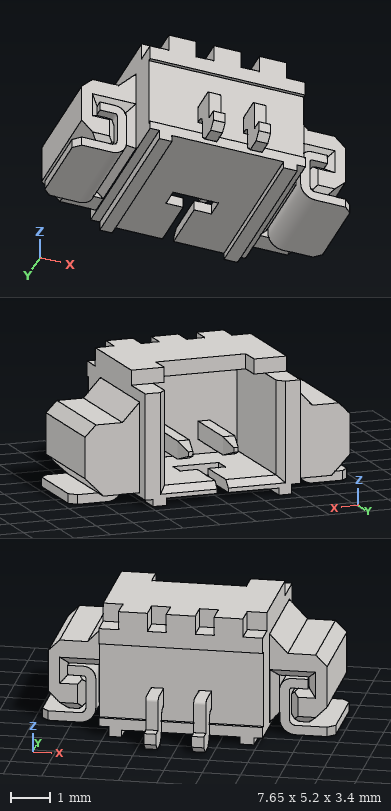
import cadquery as cq

TOTAL_HALF_WIDTH = 3.825
OVERLAP = 0.08

HALF_WIDTH = 2.135
DEPTH = 4.2
TOP_Z = 3.4
BELLY_Z = 0.19
LEFT_EDGE_Z = 0.26
LEFT_FOOT = (-1.88, -1.54)
RIGHT_FOOT = (1.54, 1.91)
RECESS_DEPTH = 0.09
RECESS_BOTTOM_Z = 0.49
RECESS_TOP_Z = 2.495

SHOULDER_Z = 3.0
SHOULDER_LENGTH = 0.995
CAVITY_HALF_WIDTH = 1.53
CAVITY_FLOOR_Z = 0.5
CAVITY_LENGTH = 3.0
ENTRY_CHAMFER = 0.18
ROOF_NOTCH_HALF_WIDTH = 1.23
ROOF_NOTCH_LENGTH = 1.59
FLOOR_SLOT_WIDTH = 0.3
FLOOR_SLOT_LENGTH = 1.45
FLOOR_WINDOW_LENGTH = 0.5

NOTCH_WIDTH = 0.49
CORNER_NOTCH_WIDTH = 0.51
NOTCH_DEPTH = 0.605
NOTCH_FLOOR_Z = 2.91

PITCH = 1.25
CONTACT_XS = (-PITCH / 2, PITCH / 2)
CONTACT_WIDTH = 0.32
CONTACT_HEIGHT = 0.48
CONTACT_TOP_Z = 1.36
CONTACT_TOE_Y = DEPTH - 5.2
TOE_LENGTH = 0.305
TOE_CHAMFER = 0.19
BEND_OUTER_RADIUS = 0.12
BEND_INNER_RADIUS = 0.2
TIP_GAP = 0.695
TIP_LENGTH = 0.51
TIP_SIZE = 0.12

EAR_FRONT_Y = 0.99
EAR_BACK_Y = DEPTH - 0.39
EAR_OUTER_X = 3.63
EAR_TOP_Z = 2.195
EAR_BOTTOM_Z = 0.3
EAR_CHAMFER = 0.3
EAR_SLOPE_X = 2.61
EAR_ROOT_Z = 2.69
EAR_BEVEL_BOTTOM = 0.505
CLIP_BACK_Y = DEPTH - 0.92
POCKET_OUTER_X = 3.13
POCKET_INNER_X = 2.35
POCKET_TOP_Z = 1.52
LIP_TOP_Z = 1.23
LIP_INNER_X = 2.66
FLARE = 0.21

CLIP_THICKNESS = 0.26
CLIP_INNER_X = 2.395
CLIP_TOP_RADIUS = 0.32
CLIP_BOTTOM_RADIUS = 0.41
CLIP_TAB_CHAMFER = 0.19


def box(x0, x1, y0, y1, z0, z1):
    """Axis-aligned box between two opposite corners."""
    return cq.Workplane("XY").box(x1 - x0, y1 - y0, z1 - z0, centered=False).translate((x0, y0, z0))


def prism_y(points, y0, y1):
    """Closed XZ outline extruded from y0 to y1."""
    return cq.Workplane("XZ", origin=(0, y0, 0)).polyline(points).close().extrude(y0 - y1)


def mirrored_box(half_width, y0, y1, z0, z1):
    """Box centred on X = 0."""
    return box(-half_width, half_width, y0, y1, z0, z1)


def cavity_outline(half_width, bottom_z):
    """Corners of a cavity cross-section that reaches up to the shoulder."""
    return [
        (-half_width, bottom_z),
        (half_width, bottom_z),
        (half_width, SHOULDER_Z),
        (-half_width, SHOULDER_Z),
    ]


def make_cavity():
    """Mating cavity with its flared mouth, open through the back and above the shoulder."""
    front_y = DEPTH - CAVITY_LENGTH
    cavity = mirrored_box(CAVITY_HALF_WIDTH, front_y, DEPTH, CAVITY_FLOOR_Z, SHOULDER_Z)
    half_flare = CAVITY_HALF_WIDTH + ENTRY_CHAMFER
    flare_y = DEPTH - ENTRY_CHAMFER
    flare = (
        cq.Workplane("XZ", origin=(0, flare_y, 0))
        .polyline(cavity_outline(CAVITY_HALF_WIDTH, CAVITY_FLOOR_Z)).close()
        .workplane(offset=-ENTRY_CHAMFER)
        .polyline(cavity_outline(half_flare, CAVITY_FLOOR_Z - ENTRY_CHAMFER)).close()
        .loft(ruled=True)
    )
    return cavity.union(flare)


def make_housing():
    """Plastic housing without the ears."""
    body = mirrored_box(HALF_WIDTH, 0, DEPTH, BELLY_Z, TOP_Z)
    for foot_start, foot_end in (LEFT_FOOT, RIGHT_FOOT):
        body = body.union(box(foot_start, foot_end, 0, DEPTH, 0, BELLY_Z))
    body = body.cut(box(-HALF_WIDTH, LEFT_FOOT[0], 0, DEPTH, BELLY_Z, LEFT_EDGE_Z))
    body = body.cut(mirrored_box(HALF_WIDTH, 0, RECESS_DEPTH, RECESS_BOTTOM_Z, RECESS_TOP_Z))

    shoulder_y = DEPTH - SHOULDER_LENGTH
    body = body.cut(mirrored_box(HALF_WIDTH, shoulder_y, DEPTH, SHOULDER_Z, TOP_Z))
    body = body.cut(make_cavity())
    notch_y = DEPTH - ROOF_NOTCH_LENGTH
    body = body.cut(mirrored_box(ROOF_NOTCH_HALF_WIDTH, notch_y, shoulder_y, SHOULDER_Z, TOP_Z))

    slot_y = DEPTH - FLOOR_SLOT_LENGTH
    body = body.cut(mirrored_box(FLOOR_SLOT_WIDTH / 2, slot_y, DEPTH, 0, CAVITY_FLOOR_Z))
    window_y = slot_y - FLOOR_WINDOW_LENGTH
    body = body.cut(mirrored_box(PITCH / 2, window_y, slot_y, 0, CAVITY_FLOOR_Z))

    corner_x = HALF_WIDTH - CORNER_NOTCH_WIDTH / 2
    notches = [(x, NOTCH_WIDTH) for x in CONTACT_XS]
    notches += [(x, CORNER_NOTCH_WIDTH) for x in (-corner_x, corner_x)]
    for x, width in notches:
        body = body.cut(box(x - width / 2, x + width / 2, 0, NOTCH_DEPTH, NOTCH_FLOOR_Z, TOP_Z))
    return body


def make_contact():
    """One contact on X = 0: bent lead, straight pin and tapered tip."""
    bottom_z = CONTACT_TOP_Z - CONTACT_HEIGHT
    leg_front_y = CONTACT_TOE_Y + TOE_LENGTH
    leg_back_y = leg_front_y + CONTACT_HEIGHT
    taper_y = DEPTH - TIP_GAP - TIP_LENGTH
    outline = [
        (taper_y, CONTACT_TOP_Z),
        (leg_front_y, CONTACT_TOP_Z),
        (leg_front_y, CONTACT_HEIGHT),
        (CONTACT_TOE_Y, CONTACT_HEIGHT),
        (CONTACT_TOE_Y, TOE_CHAMFER),
        (CONTACT_TOE_Y + TOE_CHAMFER, 0),
        (leg_back_y - TOE_CHAMFER, 0),
        (leg_back_y, TOE_CHAMFER),
        (leg_back_y, bottom_z),
        (taper_y, bottom_z),
    ]
    contact = cq.Workplane("YZ").polyline(outline).close().extrude(CONTACT_WIDTH / 2, both=True)
    outer_bend = cq.selectors.NearestToPointSelector((0, leg_front_y, CONTACT_TOP_Z))
    inner_bend = cq.selectors.NearestToPointSelector((0, leg_back_y, bottom_z))
    contact = contact.edges(outer_bend).fillet(BEND_OUTER_RADIUS)
    contact = contact.edges(inner_bend).fillet(BEND_INNER_RADIUS)
    tip = (
        cq.Workplane("XZ", origin=(0, taper_y, CONTACT_TOP_Z - CONTACT_HEIGHT / 2))
        .rect(CONTACT_WIDTH, CONTACT_HEIGHT)
        .workplane(offset=-TIP_LENGTH)
        .rect(TIP_SIZE, TIP_SIZE)
        .loft(ruled=True)
    )
    return contact.union(tip)


def make_ear():
    """Hook-shaped ear on the +X side with a clip pocket open to the front and below."""
    ear = prism_y(
        [
            (HALF_WIDTH, EAR_BOTTOM_Z),
            (EAR_OUTER_X - EAR_BEVEL_BOTTOM, EAR_BOTTOM_Z),
            (EAR_OUTER_X, EAR_BOTTOM_Z + EAR_BEVEL_BOTTOM),
            (EAR_OUTER_X, EAR_TOP_Z - EAR_CHAMFER),
            (EAR_OUTER_X - EAR_CHAMFER, EAR_TOP_Z),
            (EAR_SLOPE_X, EAR_TOP_Z),
            (HALF_WIDTH, EAR_ROOT_Z),
        ],
        EAR_FRONT_Y,
        EAR_BACK_Y,
    )
    pocket = prism_y(
        [
            (POCKET_INNER_X - FLARE, EAR_BOTTOM_Z),
            (POCKET_INNER_X, EAR_BOTTOM_Z + FLARE),
            (POCKET_INNER_X, POCKET_TOP_Z),
            (POCKET_OUTER_X, POCKET_TOP_Z),
            (POCKET_OUTER_X, LIP_TOP_Z),
            (LIP_INNER_X + FLARE, LIP_TOP_Z),
            (LIP_INNER_X, LIP_TOP_Z - FLARE),
            (LIP_INNER_X, EAR_BOTTOM_Z + FLARE),
            (LIP_INNER_X + FLARE, EAR_BOTTOM_Z),
        ],
        EAR_FRONT_Y,
        CLIP_BACK_Y,
    )
    return ear.cut(pocket).cut(make_pocket_flare())


def make_pocket_flare():
    """Lead-in around the pocket mouth: its sharp-cornered outline shrinks with depth."""
    def mouth(grow):
        open_z = EAR_BOTTOM_Z - OVERLAP
        lip_bottom_z = EAR_BOTTOM_Z + grow
        far_x = EAR_OUTER_X + OVERLAP
        return [
            (POCKET_INNER_X - grow, open_z),
            (POCKET_INNER_X - grow, POCKET_TOP_Z + grow),
            (POCKET_OUTER_X + grow, POCKET_TOP_Z + grow),
            (POCKET_OUTER_X + grow, LIP_TOP_Z - grow),
            (LIP_INNER_X + grow, LIP_TOP_Z - grow),
            (LIP_INNER_X + grow, lip_bottom_z),
            (far_x, lip_bottom_z),
            (far_x, open_z),
        ]

    return (
        cq.Workplane("XZ", origin=(0, EAR_FRONT_Y, 0))
        .polyline(mouth(FLARE)).close()
        .workplane(offset=-FLARE)
        .polyline(mouth(0)).close()
        .loft(ruled=True)
    )


def make_clip():
    """Bent sheet-metal solder clip on the +X side."""
    wall_x = CLIP_INNER_X + CLIP_THICKNESS
    clip = prism_y(
        [
            (POCKET_OUTER_X, POCKET_TOP_Z),
            (CLIP_INNER_X, POCKET_TOP_Z),
            (CLIP_INNER_X, 0),
            (TOTAL_HALF_WIDTH, 0),
            (TOTAL_HALF_WIDTH, CLIP_THICKNESS),
            (wall_x, CLIP_THICKNESS),
            (wall_x, POCKET_TOP_Z - CLIP_THICKNESS),
            (POCKET_OUTER_X, POCKET_TOP_Z - CLIP_THICKNESS),
        ],
        EAR_FRONT_Y,
        CLIP_BACK_Y,
    )
    mid_y = (EAR_FRONT_Y + CLIP_BACK_Y) / 2
    bends = (
        (CLIP_INNER_X, POCKET_TOP_Z, CLIP_TOP_RADIUS),
        (wall_x, POCKET_TOP_Z - CLIP_THICKNESS, CLIP_TOP_RADIUS - CLIP_THICKNESS),
        (CLIP_INNER_X, 0, CLIP_BOTTOM_RADIUS),
        (wall_x, CLIP_THICKNESS, CLIP_BOTTOM_RADIUS - CLIP_THICKNESS),
    )
    for x, z, radius in bends:
        clip = clip.edges(cq.selectors.NearestToPointSelector((x, mid_y, z))).fillet(radius)
    return clip.faces(">X").edges("|Z").chamfer(CLIP_TAB_CHAMFER)


result = make_housing()
for contact_x in CONTACT_XS:
    result = result.union(make_contact().translate((contact_x, 0, 0)))
side = make_ear().union(make_clip())
result = result.union(side).union(side.mirror("YZ"))